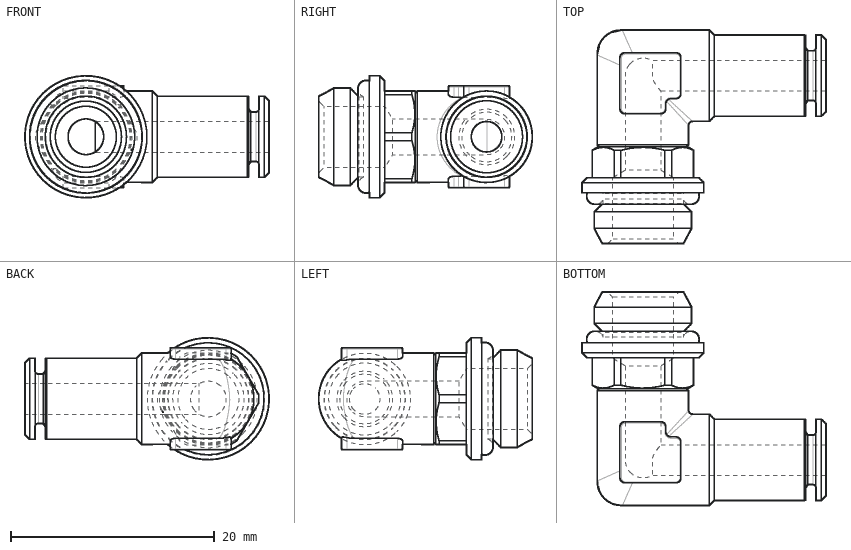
import cadquery as cq
import math


overall_length_y = 21.0

body_radius = 9.0 / 2
body_tube_end = 6.53
body_thread_end = -6.8
body_end_bevel = 0.2
outer_bend_radius = 2.4
inner_bend_radius = 0.38

sleeve_radius = 8.0 / 2
sleeve_start = body_tube_end + body_radius - sleeve_radius
sleeve_end = 16.0
sleeve_bevel_length = 0.15
sleeve_end_radius = 7.9 / 2
neck_radius = 4.9 / 2
neck_cone_length = 0.2
neck_cone_height = 0.3
neck_fillet = 0.3
ring_start = 17.0
ring_end = 18.0
ring_bevel = 0.45

hex_start = body_thread_end - body_end_bevel
hex_across_flats = 9.0
hex_turn = 30
hex_corner_radius = 5.0
hex_bevel_radius = 4.4
hex_bevel_angle = 30
collar_radius = 6.0
collar_start = -10.0
collar_end = -11.52
collar_bevel = 0.5
seal_radius = 5.55
seal_overlap = 0.02
seal_end = -12.65
groove_radius = 7.9 / 2
thread_radius = 4.8
thread_start = -13.4
thread_end = -15.0
spigot_tip_radius = 8.0 / 2
spigot_end = body_radius - overall_length_y

thread_bore_radius = 3.0
thread_bore_bevel = 0.5
thread_bore_end = collar_start
drill_point_angle = 118
channel_radius = 3.5 / 2
tube_bore_radius = 3.0 / 2

pad_size = 6.0
pad_near_edge = 2.25
pad_notch_edge = 2.25
pad_corner_radius = 0.5
pad_rim_fillet = 0.12
pad_top = 5.02
pad_pocket_reach = 2.06
pad_root = 4.08


def turned_about_x(profile):
    """Revolve an XY profile about the X axis."""
    return profile.close().revolve(360, (0, 0, 0), (1, 0, 0))


def turned_about_y(profile):
    """Revolve an XY profile about the Y axis."""
    return profile.close().revolve(360, (0, 0, 0), (0, 1, 0))


def elbow_body():
    """Two equal cylinders mitred on the plane y = -x, with the outer and inner bend edges rounded."""
    reach = 2 * body_radius
    tube_leg = (
        cq.Workplane("ZY")
        .workplane(offset=-body_tube_end)
        .circle(body_radius)
        .extrude(body_tube_end + reach)
    )
    thread_leg = (
        cq.Workplane("ZX")
        .workplane(offset=body_thread_end)
        .circle(body_radius)
        .extrude(reach - body_thread_end)
    )
    tube_side = (
        cq.Workplane("XY")
        .polyline([(-reach, reach), (reach, reach), (reach, -reach)])
        .close()
        .extrude(reach, both=True)
    )
    elbow = tube_leg.intersect(tube_side).union(thread_leg.cut(tube_side))

    pocket_width = 2 * pad_pocket_reach
    full_column = cq.Workplane("XY").box(pocket_width, pocket_width, 2 * body_radius)
    kept_core = cq.Workplane("XY").box(pocket_width, pocket_width, 2 * pad_root)
    pockets = full_column.cut(kept_core)
    elbow = elbow.cut(pockets)

    elbow = elbow.edges("%ELLIPSE").edges(">X").fillet(inner_bend_radius)
    return elbow.edges("%ELLIPSE").edges("<X").fillet(outer_bend_radius)


def tube_sleeve():
    """Sleeve, grooved neck and release ring in front of the body cone."""
    return turned_about_x(
        cq.Workplane("XY")
        .moveTo(0, 0)
        .lineTo(0, sleeve_radius)
        .lineTo(body_tube_end, body_radius)
        .lineTo(sleeve_start, sleeve_radius)
        .lineTo(sleeve_end - sleeve_bevel_length, sleeve_radius)
        .lineTo(sleeve_end, sleeve_end_radius)
        .lineTo(sleeve_end, neck_radius + neck_cone_height)
        .lineTo(sleeve_end + neck_cone_length, neck_radius)
        .lineTo(ring_start - neck_fillet, neck_radius)
        .radiusArc((ring_start, neck_radius + neck_fillet), -neck_fillet)
        .lineTo(ring_start, sleeve_radius)
        .lineTo(ring_end - ring_bevel, sleeve_radius)
        .lineTo(ring_end, sleeve_radius - ring_bevel)
        .lineTo(ring_end, 0)
    )


def body_rim():
    """Short bevel joining the body to the hexagon."""
    return turned_about_y(
        cq.Workplane("XY")
        .moveTo(0, body_thread_end)
        .lineTo(body_radius, body_thread_end)
        .lineTo(body_radius - body_end_bevel, hex_start)
        .lineTo(0, hex_start)
    )


def hexagon():
    """Hexagon with flats on +Z and -Z, round corners and a bevel towards the body."""
    bevel_length = (hex_corner_radius - hex_bevel_radius) * math.tan(math.radians(hex_bevel_angle))
    blank = turned_about_y(
        cq.Workplane("XY")
        .moveTo(0, hex_start)
        .lineTo(hex_bevel_radius, hex_start)
        .lineTo(hex_corner_radius, hex_start - bevel_length)
        .lineTo(hex_corner_radius, collar_start)
        .lineTo(0, collar_start)
    )
    prism = (
        cq.Workplane("XZ")
        .workplane(offset=-hex_start)
        .transformed(rotate=(0, 0, hex_turn))
        .polygon(6, hex_across_flats, circumscribed=True)
        .extrude(hex_start - collar_start)
    )
    return prism.intersect(blank)


def threaded_spigot():
    """Collar, undercut groove and plain thread cylinder with a conical tip."""
    return turned_about_y(
        cq.Workplane("XY")
        .moveTo(0, collar_start)
        .lineTo(collar_radius - collar_bevel, collar_start)
        .lineTo(collar_radius, collar_start - collar_bevel)
        .lineTo(collar_radius, collar_end)
        .lineTo(groove_radius, collar_end)
        .lineTo(groove_radius, thread_start + thread_radius - groove_radius)
        .lineTo(thread_radius, thread_start)
        .lineTo(thread_radius, thread_end)
        .lineTo(spigot_tip_radius, spigot_end)
        .lineTo(0, spigot_end)
    )


def seal_ring():
    """Round-section seal seated on the groove, partly sunk into the collar."""
    section_radius = (seal_radius - groove_radius) / 2 + seal_overlap
    ring_center_radius = seal_radius - section_radius
    section = cq.Workplane("YX").moveTo(seal_end + section_radius, ring_center_radius).circle(section_radius)
    return section.revolve(360, (0, 0, 0), (1, 0, 0))


def pads():
    """Square pads with a notched corner at the inner bend, one on each side of the elbow."""
    far_edge = pad_size - pad_near_edge
    return (
        cq.Workplane("XY")
        .polyline([
            (-pad_near_edge, pad_near_edge),
            (far_edge, pad_near_edge),
            (far_edge, -pad_notch_edge),
            (pad_notch_edge, -pad_notch_edge),
            (pad_notch_edge, -far_edge),
            (-pad_near_edge, -far_edge),
        ])
        .close()
        .extrude(pad_top, both=True)
        .edges("|Z")
        .fillet(pad_corner_radius)
        .faces("<Z or >Z")
        .edges()
        .fillet(pad_rim_fillet)
    )


def thread_passage():
    """Bevelled bore with a drill-point floor, then a narrower channel with a round end at the bend."""
    point_slope = math.tan(math.radians(drill_point_angle / 2))
    point_end = thread_bore_end + (thread_bore_radius - channel_radius) / point_slope
    return turned_about_y(
        cq.Workplane("XY")
        .moveTo(0, spigot_end)
        .lineTo(thread_bore_radius + thread_bore_bevel, spigot_end)
        .lineTo(thread_bore_radius, spigot_end + thread_bore_bevel)
        .lineTo(thread_bore_radius, thread_bore_end)
        .lineTo(channel_radius, point_end)
        .lineTo(channel_radius, 0)
        .radiusArc((0, channel_radius), -channel_radius)
    )


def tube_passage():
    """Straight bore from the bend out through the release ring."""
    return cq.Workplane("YZ").circle(tube_bore_radius).extrude(ring_end)


result = (
    elbow_body()
    .union(pads())
    .union(tube_sleeve())
    .union(body_rim())
    .union(hexagon())
    .union(threaded_spigot())
    .union(seal_ring())
    .cut(thread_passage())
    .cut(tube_passage())
)